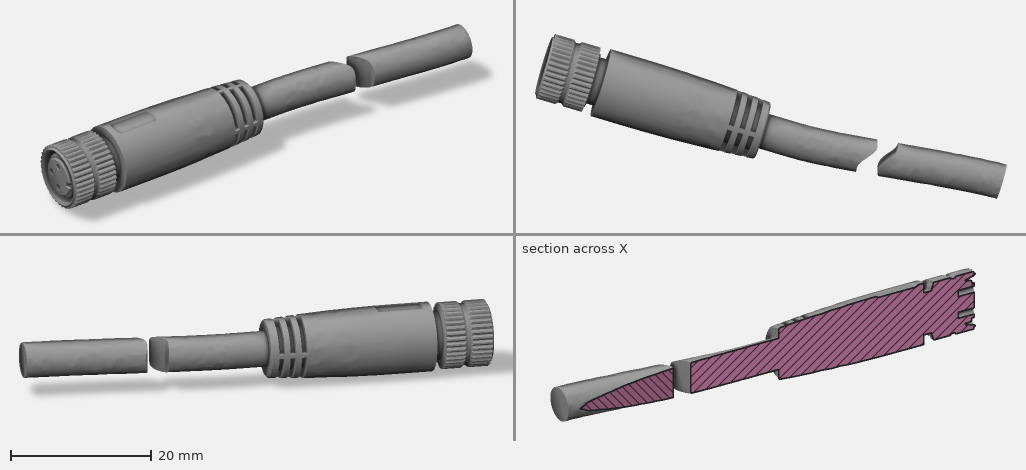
import cadquery as cq


nut_length = 7.3
nut_radius = 4.8
nut_base_radius = 4.45
nut_front_radius = 4.25
nut_rear_radius = 3.8
tooth_start = 0.3
tooth_end = 7.0
band_middle = 3.7
band_floor_width = 0.55
tooth_count = 36
valley_depth = 0.3
mouth_radius = 4.2
mouth_chamfer = 0.2
mouth_floor_radius = 3.6
mouth_depth = 1.7

sleeve_radius = 3.45
sleeve_setback = 0.55
sleeve_rounding = 0.55
plug_radius = 2.8
plug_setback = 0.15
plug_chamfer = 0.15
contact_circle = 1.75
contact_hole_radius = 0.505
contact_hole_depth = 2.7
key_width = 0.95
key_inner = 1.95
key_depth = 1.35

neck_radius = 3.45

grip_start = 8.5
grip_straight_end = 13.55
grip_end = 32.6
grip_radius = 5.0
grip_end_radius = 4.2
grip_end_chamfer = 0.2

groove_count = 3
groove_start = 27.45
groove_width = 0.8
groove_pitch = 1.6
groove_floor_radius = 3.2
groove_rib_width = 0.55

label_width = 3.65
label_length = 7.0
label_start = 9.5
label_depth = 0.3
label_wall_slope = 50

cable_radius = 2.55
cable_straight_end = 37.5
cable_end = 67.4
cable_shift = 2.8
start_handle = 6.75
end_handle = 6.1

near_break = [
    (-3.4, 47.3),
    (-1.8, 47.1),
    (-0.1, 47.05),
    (0.6, 47.45),
    (1.6, 48.25),
    (2.6, 48.9),
    (3.7, 48.6),
    (6.1, 47.5),
]
far_break = [
    (-3.4, 51.6),
    (-1.35, 50.3),
    (-0.55, 49.95),
    (0.75, 50.3),
    (2.75, 51.65),
    (4.05, 51.7),
    (6.1, 51.2),
]


def disc(radius, start, length):
    """Cylinder along +Y."""
    return cq.Workplane("XZ", origin=(0, start, 0)).circle(radius).extrude(-length)


def turned(profile):
    """Solid of revolution about the Y axis from an (X, Y) profile."""
    return profile.close().revolve(360, (0, 0, 0), (0, 1, 0))


def nut_blank():
    half_floor = band_floor_width / 2
    half_top = half_floor + nut_radius - nut_base_radius
    return turned(
        cq.Workplane("XY")
        .moveTo(0, 0)
        .lineTo(nut_front_radius, 0)
        .lineTo(nut_base_radius, tooth_start)
        .lineTo(nut_radius, tooth_start)
        .lineTo(nut_radius, band_middle - half_top)
        .lineTo(nut_base_radius, band_middle - half_floor)
        .lineTo(nut_base_radius, band_middle + half_floor)
        .lineTo(nut_radius, band_middle + half_top)
        .lineTo(nut_radius, tooth_end)
        .lineTo(nut_base_radius, tooth_end)
        .lineTo(nut_rear_radius, nut_length)
        .lineTo(0, nut_length)
    )


def knurl_valleys():
    """V-shaped valleys cut by square bars that stand on edge."""
    pitch_angle = 360 / tooth_count
    return (
        cq.Workplane("XZ")
        .polarArray(nut_radius, pitch_angle / 2, 360, tooth_count)
        .polygon(4, 2 * valley_depth)
        .extrude(-nut_length)
    )


def mouth():
    """Conical gap between the nut and the contact insert."""
    funnel = turned(
        cq.Workplane("XY")
        .moveTo(0, 0)
        .lineTo(mouth_radius, 0)
        .lineTo(mouth_radius - mouth_chamfer, mouth_chamfer)
        .lineTo(mouth_floor_radius, mouth_depth)
        .lineTo(0, mouth_depth)
    )
    sleeve = disc(sleeve_radius, sleeve_setback, mouth_depth - sleeve_setback)
    sleeve = sleeve.faces("<Y").edges().fillet(sleeve_rounding)
    plug = disc(plug_radius, plug_setback, mouth_depth - plug_setback)
    plug = plug.faces("<Y").edges().chamfer(plug_chamfer)
    return funnel.cut(sleeve).cut(plug)


def contact_holes():
    return (
        cq.Workplane("XZ", origin=(0, plug_setback, 0))
        .pushPoints([(0, contact_circle), (-contact_circle, 0), (0, -contact_circle)])
        .circle(contact_hole_radius)
        .extrude(-contact_hole_depth)
    )


def keyway():
    """Slot from the +X side of the plug, open to its front face."""
    return (
        cq.Workplane("XY", origin=(key_inner, plug_setback, 0))
        .box(plug_radius - key_inner, key_depth, key_width, centered=(False, False, True))
    )


def grip_blank():
    return turned(
        cq.Workplane("XY")
        .moveTo(0, grip_start)
        .lineTo(grip_radius, grip_start)
        .lineTo(grip_radius, grip_straight_end)
        .tangentArcPoint((grip_end_radius, grip_end), relative=False)
        .lineTo(0, grip_end)
    ).faces(">Y").edges().chamfer(grip_end_chamfer)


def grip_groove(start):
    """Ring groove interrupted by four ribs, on the +X, -X, +Z and -Z sides."""
    ring = disc(2 * grip_radius, start, groove_width).cut(disc(groove_floor_radius, start, groove_width))
    span = 4 * grip_radius
    for size in [(span, groove_rib_width), (groove_rib_width, span)]:
        rib = cq.Workplane("XZ", origin=(0, start, 0)).rect(*size).extrude(-groove_width)
        ring = ring.cut(rib)
    return ring


def label_recess():
    floor_cylinder = disc(grip_radius - label_depth, label_start, label_length)
    return (
        cq.Workplane("XY", origin=(0, label_start + label_length / 2, grip_radius))
        .rect(label_width, label_length)
        .extrude(-2 * label_depth, taper=label_wall_slope)
        .cut(floor_cylinder)
    )


def cable():
    """Whole cable: a straight run out of the grip, then a shallow S bend."""
    straight = disc(cable_radius, grip_end, cable_straight_end - grip_end)
    path = cq.Workplane("XY").bezier([
        (0, cable_straight_end),
        (0, cable_straight_end + start_handle),
        (cable_shift, cable_end - end_handle),
        (cable_shift, cable_end),
    ])
    bend = cq.Workplane("XZ", origin=(0, cable_straight_end, 0)).circle(cable_radius).sweep(path)
    return straight.union(bend)


def cable_side(break_line, limit):
    """Prism covering the cable between a torn end and the plane Y = limit."""
    first_x = break_line[0][0]
    last_x = break_line[-1][0]
    return (
        cq.Workplane("XY", origin=(0, 0, -2 * cable_radius))
        .moveTo(*break_line[0])
        .spline(break_line[1:], includeCurrent=True)
        .lineTo(last_x, limit)
        .lineTo(first_x, limit)
        .close()
        .extrude(4 * cable_radius)
    )


def make_connector():
    body = nut_blank().cut(knurl_valleys()).cut(mouth()).cut(contact_holes()).cut(keyway())
    body = body.union(disc(neck_radius, nut_length, grip_start - nut_length))
    grip = grip_blank().cut(label_recess())
    for index in range(groove_count):
        grip = grip.cut(grip_groove(groove_start + index * groove_pitch))
    return body.union(grip).union(cable().intersect(cable_side(near_break, grip_end)))


def make_loose_cable():
    return cable().intersect(cable_side(far_break, cable_end))


connector = make_connector()
loose_cable = make_loose_cable()
result = cq.Compound.makeCompound([connector.val(), loose_cable.val()])